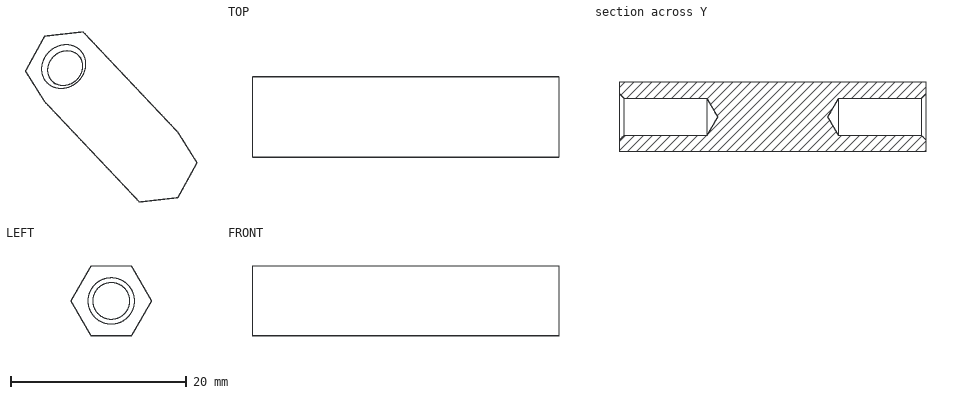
import cadquery as cq
import math

length = 35.0
across_flats = 8.0
edge_radius = 0.1

bore_diameter = 4.2
bore_depth = 10.0
drill_point_angle = 120.0
mouth_diameter = 5.3
mouth_angle = 90.0

across_corners = across_flats / math.cos(math.radians(30))
bore_radius = bore_diameter / 2
mouth_radius = mouth_diameter / 2


def cone_height(radius_change, included_angle):
    """Axial length over which a cone changes its radius by the given amount."""
    return radius_change / math.tan(math.radians(included_angle / 2))


def hex_bar():
    """Bar starting at X = 0, with flats on top and bottom and rounded edges."""
    bar = cq.Workplane("YZ").polygon(6, across_corners).extrude(length)
    return bar.edges().fillet(edge_radius)


def blind_hole():
    """Countersunk hole with a drill point, entering at X = 0 and running along +X."""
    mouth_depth = cone_height(mouth_radius - bore_radius, mouth_angle)
    tip_depth = bore_depth + cone_height(bore_radius, drill_point_angle)
    half_section = (
        cq.Workplane("XY")
        .lineTo(0, mouth_radius)
        .lineTo(mouth_depth, bore_radius)
        .lineTo(bore_depth, bore_radius)
        .lineTo(tip_depth, 0)
        .close()
    )
    return half_section.revolve(360, (0, 0, 0), (1, 0, 0))


near_hole = blind_hole()
far_hole = near_hole.mirror("YZ").translate((length, 0, 0))

result = hex_bar().cut(near_hole).cut(far_hole)